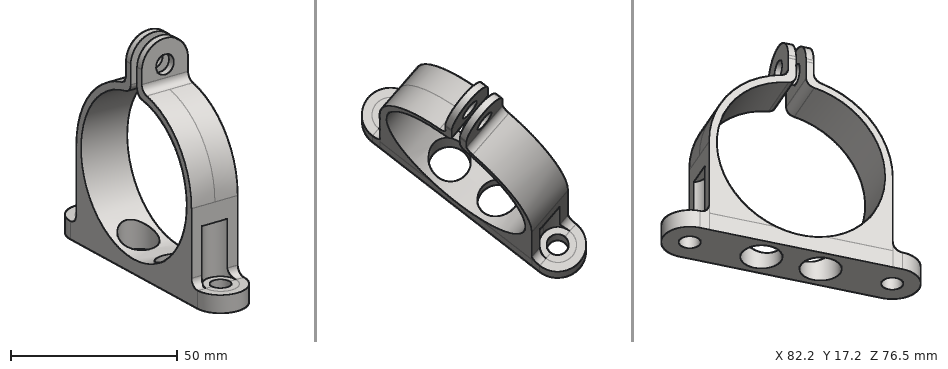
import cadquery as cq
width = 17.2
height = 76.45
bend_radius = 3.0

bore_radius = 27.0
wall = 2.5
ring_radius = bore_radius + wall
floor_thickness = 4.8
bore_z = floor_thickness + bore_radius

foot_height = 6.0
foot_radius = width / 2
foot_hole_x = ring_radius + bend_radius
length = 2 * (foot_hole_x + foot_radius)
screw_diameter = 6.6
screw_head_diameter = 11.2
screw_head_top = 25.0

gap = 3.2
ear_radius = 8.615
ear_hole_z = height - ear_radius

floor_hole_diameter = 12.7
floor_hole_x = 9.5


def box(size_x, z_low, z_high):
    """Block over the full width, centred on X and Y."""
    return cq.Workplane("XY", origin=(0, 0, z_low)).box(
        size_x, width, z_high - z_low, centered=(True, True, False)
    )


def cylinder_along_y(radius, z):
    return cq.Workplane("XZ", origin=(0, 0, z)).circle(radius).extrude(width / 2, both=True)


def vertical_cylinders(x, diameter, z_low, z_high):
    """Mirrored pair of vertical cylinders at -x and +x."""
    return (
        cq.Workplane("XY", origin=(0, 0, z_low))
        .pushPoints([(-x, 0), (x, 0)])
        .circle(diameter / 2)
        .extrude(z_high - z_low)
    )


def fillet_pair(part, x, z_low, z_high):
    """Round the edges parallel to Y near -x and +x within a height range."""
    margin = 0.1
    half_width = width / 2
    left, right = [
        cq.selectors.BoxSelector((side - margin, -half_width, z_low), (side + margin, half_width, z_high))
        for side in (-x, x)
    ]
    return part.edges("|Y").edges(left + right).fillet(bend_radius)


def make_frame():
    """Bored ring on straight flanks, with the split ears and the feet bent off it."""
    ear_span = gap + 2 * wall
    frame = (
        box(2 * ring_radius, 0, bore_z)
        .union(cylinder_along_y(ring_radius, bore_z))
        .union(box(ear_span, bore_z, height))
        .union(box(length, 0, foot_height))
        .cut(cylinder_along_y(bore_radius, bore_z))
        .cut(box(gap, bore_z, height))
    )
    ear_root_top = ear_hole_z - bend_radius
    frame = fillet_pair(frame, ear_span / 2, bore_z, ear_root_top)
    frame = fillet_pair(frame, gap / 2, bore_z, ear_root_top)
    return fillet_pair(frame, ring_radius, floor_thickness, bore_z / 2)


def round_feet(part):
    plan = cq.Workplane("XY").slot2D(length, width).extrude(height)
    return part.intersect(plan)


def round_ears(part):
    side_profile = box(length, 0, ear_hole_z).union(
        cq.Workplane("YZ", origin=(0, 0, ear_hole_z)).circle(ear_radius).extrude(length / 2, both=True)
    )
    return part.intersect(side_profile)


def cut_ear_holes(part):
    hole = (
        cq.Workplane("YZ", origin=(0, 0, ear_hole_z))
        .circle(screw_diameter / 2)
        .extrude(length / 2, both=True)
    )
    return part.cut(hole)


def cut_foot_holes(part):
    """Screw holes, with clearance for the screw heads cut into the flanks above the feet."""
    part = part.cut(vertical_cylinders(foot_hole_x, screw_diameter, 0, foot_height))
    return part.cut(vertical_cylinders(foot_hole_x, screw_head_diameter, foot_height, screw_head_top))


def cut_floor_holes(part):
    return part.cut(vertical_cylinders(floor_hole_x, floor_hole_diameter, 0, bore_z))


result = make_frame()
result = round_feet(result)
result = round_ears(result)
result = cut_ear_holes(result)
result = cut_foot_holes(result)
result = cut_floor_holes(result).clean()